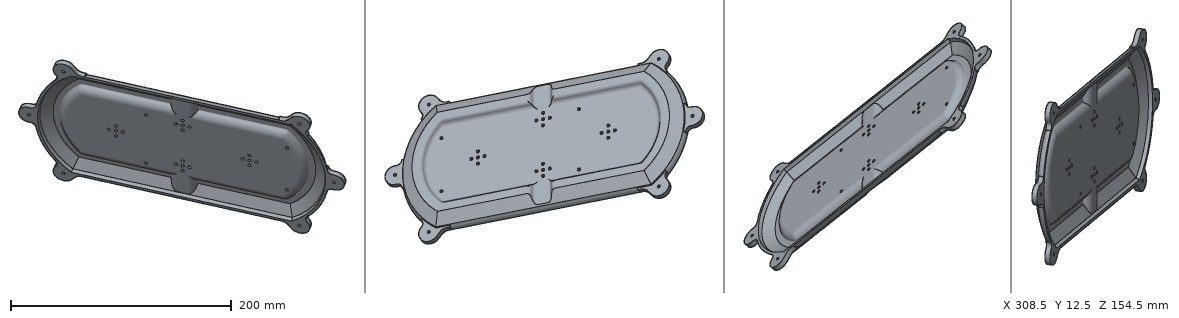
import cadquery as cq
import math

LENGTH = 308.5
HEIGHT = 154.5
DEPTH = 12.5
WALL = 3.0
FLOOR_Y = DEPTH - WALL

ARC_CENTRE_X = 56.8
ARC_EXTRA = 15.7

RIM_HALF = 66.5
LIP_HALF = 64.0
RIM_LEANS = [math.tan(math.radians(15)), math.tan(math.radians(30))]
OUTER_STEPS = [2.93, 2.93]
INNER_STEPS = [2.93, 0.5]

BACK_HALF = 52.5
FLOOR_HALF = 51.8

PLATEAU_HALF = 37.5
BRIDGE_HALF_WIDTH = 5.0
ROLL_CENTRE_Y = 11.7
FRONT_ROLL = 8.0
FRONT_FOOT = 1.0
BACK_ROLL = FRONT_ROLL - WALL
BACK_FOOT = FRONT_FOOT + WALL

EAR_RADIUS = 10.0
EAR_DEPTH = 5.0
EAR_FILLET = 5.0
EAR_SIDE_FILLET = 8.0
TOUCHING = 0.03
END_EAR = (LENGTH / 2 - EAR_RADIUS, 0)
CORNER_EAR_X = 111.7
CORNER_EAR_Z = HEIGHT / 2 - EAR_RADIUS
RIGHT_EARS = [END_EAR, (CORNER_EAR_X, CORNER_EAR_Z), (CORNER_EAR_X, -CORNER_EAR_Z)]
EARS = RIGHT_EARS + [(-x, z) for x, z in RIGHT_EARS]

HOLE_DIAMETER = 2.8
CROSS_PITCH = 6.5
CROSS_X = 63.2
CROSS_Z = 26.8
CROSS_CENTRES = [(-CROSS_X, 0), (CROSS_X, 0), (0, -CROSS_Z), (0, CROSS_Z)]
CROSS_STEPS = [(0, 0), (1, 0), (-1, 0), (0, 1), (0, -1)]
SINGLE_HOLES = [(-35.0, 30.0), (-35.0, -34.0), (98.7, 28.0), (98.7, -28.0)]


def plane_at(y):
    """XZ plane at depth y; extrusions run toward +Y and the local vertical is -Z."""
    return cq.Workplane(cq.Plane(origin=(0, y, 0), xDir=(1, 0, 0), normal=(0, 1, 0)))


def corner_x(half):
    """X where the straight sides of an outline meet its end arcs."""
    return ARC_CENTRE_X + math.sqrt((half + ARC_EXTRA) ** 2 - half**2)


def outline(work, half):
    x_corner = corner_x(half)
    x_end = ARC_CENTRE_X + half + ARC_EXTRA
    return (
        work.moveTo(-x_corner, half)
        .lineTo(x_corner, half)
        .threePointArc((x_end, 0), (x_corner, -half))
        .lineTo(-x_corner, -half)
        .threePointArc((-x_end, 0), (-x_corner, half))
        .close()
    )


def prism(half, y_start, y_end):
    return outline(plane_at(y_start), half).extrude(y_end - y_start)


def frustum(half_front, half_back, y_start, y_end):
    front = outline(plane_at(y_start), half_front)
    return outline(front.workplane(offset=y_end - y_start), half_back).loft(ruled=True)


def leaning_block(front_half, steps, back_half, back_y):
    """Solid from y = 0 that narrows by the rim leans, then slopes in to back_half at back_y."""
    block = None
    half = front_half
    y = 0
    for lean, depth in zip(RIM_LEANS, steps):
        next_half = half - depth * lean
        step = frustum(half, next_half, y, y + depth)
        block = step if block is None else block.union(step)
        half = next_half
        y += depth
    return block.union(frustum(half, back_half, y, back_y))


def filleted_ears():
    """Six rounded ears with filleted necks, each cut from a rim-sized plate along with its root."""
    plate = prism(RIM_HALF, 0, EAR_DEPTH)
    root_width = 2 * (EAR_RADIUS + EAR_FILLET)
    roots = None
    for x, z in EARS:
        centre_x = math.copysign(ARC_CENTRE_X, x)
        distance = math.hypot(x - centre_x, z)
        angle = math.degrees(math.atan2(-z, x - centre_x))
        tab = plane_at(0).center(distance / 2, 0).rect(distance, 2 * EAR_RADIUS).extrude(EAR_DEPTH)
        tip = plane_at(0).center(distance, 0).circle(EAR_RADIUS).extrude(EAR_DEPTH)
        ear = tab.union(tip).rotate((0, 0, 0), (0, 1, 0), angle).translate((centre_x, 0, 0))
        plate = plate.union(ear)

        root = plane_at(0).center(distance, 0).rect(4 * EAR_RADIUS, root_width).extrude(EAR_DEPTH)
        root = root.rotate((0, 0, 0), (0, 1, 0), angle).translate((centre_x, 0, 0))
        roots = root if roots is None else roots.union(root)
    plate = plate.newObject(find_necks(plate, True)).fillet(EAR_SIDE_FILLET)
    plate = plate.newObject(find_necks(plate, False)).fillet(EAR_FILLET)
    return plate.intersect(roots)


def find_necks(plate, on_straight_side):
    """Edges where the ears meet the straight sides of the rim, or its end arcs."""
    necks = []
    for edge in plate.edges("|Y").vals():
        point = edge.Center()
        from_arc = math.hypot(abs(point.x) - ARC_CENTRE_X, point.z) - (RIM_HALF + ARC_EXTRA)
        from_side = abs(point.z) - RIM_HALF
        gap = from_side if on_straight_side else from_arc
        if abs(gap) < TOUCHING:
            necks.append(edge)
    return necks


def rolled_section(work, roll, foot, floor_y):
    """Half section of a rolled edge: tangent to the flat top, then flaring out onto floor_y.

    Local x runs outward from the edge of the flat top, local y is the depth.
    """
    foot_y = floor_y - foot
    foot_x = math.sqrt((roll + foot) ** 2 - (ROLL_CENTRE_Y - foot_y) ** 2)
    tilt = math.atan2(ROLL_CENTRE_Y - foot_y, foot_x)
    arc_middle = (math.pi / 2 + tilt) / 2

    top = (0, ROLL_CENTRE_Y - roll)
    on_roll = (roll * math.cos(arc_middle), ROLL_CENTRE_Y - roll * math.sin(arc_middle))
    joint = (roll * math.cos(tilt), ROLL_CENTRE_Y - roll * math.sin(tilt))
    on_foot = (foot_x - foot * math.cos(arc_middle), foot_y + foot * math.sin(arc_middle))
    return (
        work.moveTo(*top)
        .threePointArc(on_roll, joint)
        .threePointArc(on_foot, (foot_x, floor_y))
        .lineTo(0, floor_y)
        .close()
    )


def section_plane(x, z, outward, along):
    """Plane for a rolled section whose depth axis is +Y."""
    return cq.Workplane(cq.Plane(origin=(x, 0, z), xDir=outward, normal=along))


def pressed_plateau(roll, foot, floor_y):
    """Plateau and bridges with rolled edges, from their flat top to floor_y."""
    x_corner = corner_x(PLATEAU_HALF)
    arc_radius = PLATEAU_HALF + ARC_EXTRA
    arc_half_angle = math.degrees(math.asin(PLATEAU_HALF / arc_radius))
    top_y = ROLL_CENTRE_Y - roll

    body = prism(PLATEAU_HALF, top_y, floor_y)
    bridge = plane_at(top_y).rect(2 * BRIDGE_HALF_WIDTH, 2 * RIM_HALF).extrude(floor_y - top_y)
    body = body.union(bridge)

    side_plane = section_plane(x_corner, PLATEAU_HALF, (0, 0, 1), (-1, 0, 0))
    side_roll = rolled_section(side_plane, roll, foot, floor_y).extrude(2 * x_corner)
    bridge_plane = section_plane(BRIDGE_HALF_WIDTH, -RIM_HALF, (1, 0, 0), (0, 0, 1))
    bridge_roll = rolled_section(bridge_plane, roll, foot, floor_y).extrude(2 * RIM_HALF)
    arc_plane = section_plane(ARC_CENTRE_X + arc_radius, 0, (1, 0, 0), (0, 0, 1))
    arc_roll = (
        rolled_section(arc_plane, roll, foot, floor_y)
        .revolve(2 * arc_half_angle, (-arc_radius, 0), (-arc_radius, 1))
        .rotate((ARC_CENTRE_X, 0, 0), (ARC_CENTRE_X, 1, 0), -arc_half_angle)
    )
    corner_plane = section_plane(0, 0, (1, 0, 0), (0, 0, 1))
    corner = rolled_section(corner_plane, roll, foot, floor_y).revolve(360, (0, 0), (0, 1))
    corners = [corner.translate((x_corner, 0, z)) for z in (-PLATEAU_HALF, PLATEAU_HALF)]

    for piece in [side_roll, bridge_roll, arc_roll] + corners:
        body = body.union(piece).union(piece.rotate((0, 0, 0), (0, 1, 0), 180))
    return body


def drill(body, places):
    for x, z in places:
        body = body.cut(plane_at(0).center(x, -z).circle(HOLE_DIAMETER / 2).extrude(DEPTH))
    return body


cross_holes = [
    (x + step_x * CROSS_PITCH, z + step_z * CROSS_PITCH)
    for x, z in CROSS_CENTRES
    for step_x, step_z in CROSS_STEPS
]

envelope = leaning_block(RIM_HALF, OUTER_STEPS, BACK_HALF, DEPTH)
hollow = leaning_block(LIP_HALF, INNER_STEPS, FLOOR_HALF, FLOOR_Y)
tray = envelope.union(filleted_ears()).cut(hollow)
tray = tray.union(pressed_plateau(FRONT_ROLL, FRONT_FOOT, FLOOR_Y).intersect(envelope))
tray = tray.cut(pressed_plateau(BACK_ROLL, BACK_FOOT, DEPTH))
result = drill(tray, EARS + cross_holes + SINGLE_HOLES)